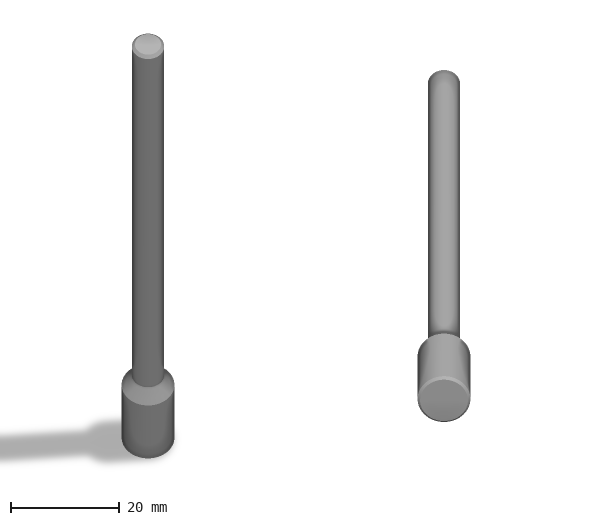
import cadquery as cq

total_length = 117.0
shank_diameter = 6.0
head_diameter = 9.7

cylinder_top = 16.1
head_top = 19.2

shank_chamfer = 0.6
head_chamfer = 0.5


def make_head():
    """Turned head: chamfered cylinder with a cone that narrows to the shank."""
    head_radius = head_diameter / 2
    cylinder = cq.Workplane("XY").circle(head_radius).extrude(cylinder_top)
    cylinder = cylinder.faces("<Z").edges().chamfer(head_chamfer)
    cone = cq.Solid.makeCone(
        head_radius,
        shank_diameter / 2,
        head_top - cylinder_top,
        pnt=cq.Vector(0, 0, cylinder_top),
    )
    return cylinder.union(cq.Workplane(obj=cone))


def make_shank():
    """Plain round shank standing on the head, with a chamfered free end."""
    shank = (
        cq.Workplane("XY")
        .workplane(offset=head_top)
        .circle(shank_diameter / 2)
        .extrude(total_length - head_top)
    )
    return shank.faces(">Z").edges().chamfer(shank_chamfer)


head = make_head()
shank = make_shank()

result = cq.Compound.makeCompound([head.val(), shank.val()])